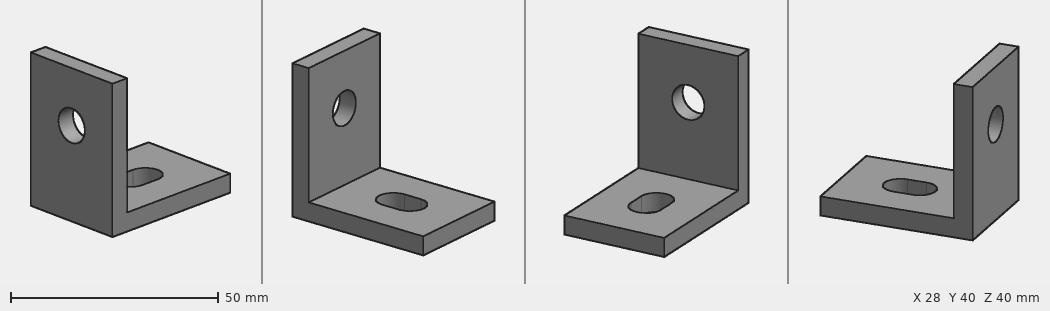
import cadquery as cq

leg_length = 40
width = 28
thickness = 5.0

hole_end_distance = 15.0
hole_diameter = 9.0
slot_width = 8.5
slot_center_spacing = 5.0

slot_length = slot_center_spacing + slot_width
slot_center_y = leg_length - hole_end_distance - slot_center_spacing / 2
hole_center_z = leg_length - hole_end_distance

base = cq.Workplane("XY").box(width, leg_length, thickness, centered=(True, False, False))
upright = cq.Workplane("XY").box(width, thickness, leg_length, centered=(True, False, False))
bracket = base.union(upright)

round_hole = (
    cq.Workplane("XZ")
    .center(0, hole_center_z)
    .circle(hole_diameter / 2)
    .extrude(-thickness)
)

slot = (
    cq.Workplane("XY")
    .center(0, slot_center_y)
    .slot2D(slot_length, slot_width, angle=90)
    .extrude(thickness)
)

result = bracket.cut(round_hole).cut(slot)